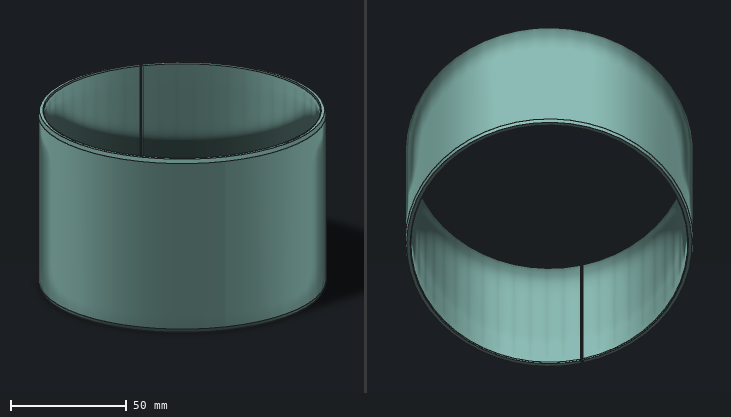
import cadquery as cq
import math

outer_diameter = 125.0
wall_thickness = 2.5
length = 80.0

inner_chamfer_length = 0.6
inner_chamfer_angle = 30.0
outer_chamfer_length = 3 * inner_chamfer_length
outer_chamfer_angle = 20.0

slit_angle = 1.0

outer_radius = outer_diameter / 2
inner_radius = outer_radius - wall_thickness
half_length = length / 2


def chamfer_depth(axial_length, angle):
    """Radial depth of a chamfer of the given axial length and angle."""
    return axial_length * math.tan(math.radians(angle))


def make_sleeve():
    """Revolve the wall section, with its four chamfered corners, about Z."""
    outer_straight = half_length - outer_chamfer_length
    inner_straight = half_length - inner_chamfer_length
    outer_rim = outer_radius - chamfer_depth(outer_chamfer_length, outer_chamfer_angle)
    inner_rim = inner_radius + chamfer_depth(inner_chamfer_length, inner_chamfer_angle)
    section = [
        (inner_radius, -inner_straight),
        (inner_rim, -half_length),
        (outer_rim, -half_length),
        (outer_radius, -outer_straight),
        (outer_radius, outer_straight),
        (outer_rim, half_length),
        (inner_rim, half_length),
        (inner_radius, inner_straight),
    ]
    return cq.Workplane("XZ").polyline(section).close().revolve(360, (0, 0, 0), (0, 1, 0))


def make_slit():
    """Full-length wedge with its edge on the axis, reaching out past the -X wall."""
    reach = outer_diameter
    opening = reach * math.tan(math.radians(slit_angle))
    outline = [(0, 0), (-reach, opening), (-reach, 0)]
    return cq.Workplane("XY").polyline(outline).close().extrude(half_length, both=True)


result = make_sleeve().cut(make_slit())